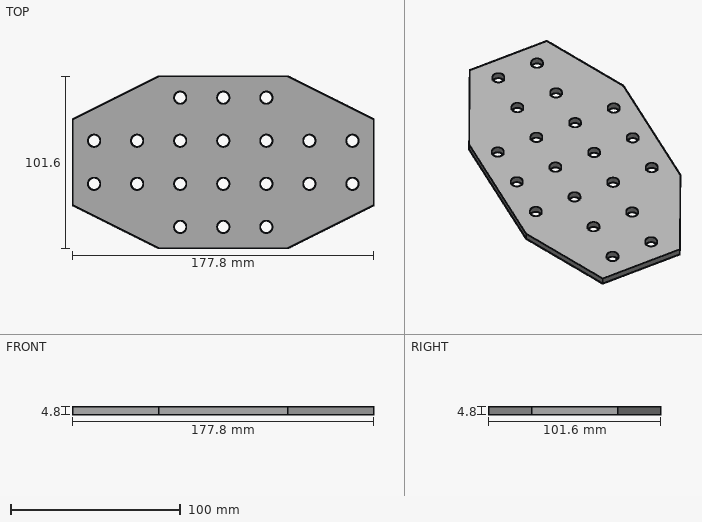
import cadquery as cq

length = 177.8
columns = 7
rows = 4
thickness = 4.8
hole_diameter = 7.1

pitch = length / columns
width = rows * pitch

corner_length = 2 * pitch
corner_width = pitch

holes_per_row = [3, columns, columns, 3]


def octagonal_plate():
    half_length = length / 2
    half_width = width / 2
    end_y = half_width - corner_width
    side_x = half_length - corner_length
    outline = [
        (-half_length, -end_y),
        (-side_x, -half_width),
        (side_x, -half_width),
        (half_length, -end_y),
        (half_length, end_y),
        (side_x, half_width),
        (-side_x, half_width),
        (-half_length, end_y),
    ]
    return cq.Workplane("XY").polyline(outline).close().extrude(thickness)


def hole_centers():
    centers = []
    for row, count in enumerate(holes_per_row):
        y = (row - (rows - 1) / 2) * pitch
        for column in range(count):
            x = (column - (count - 1) / 2) * pitch
            centers.append((x, y))
    return centers


result = (
    octagonal_plate()
    .faces(">Z")
    .workplane(origin=(0, 0, thickness))
    .pushPoints(hole_centers())
    .hole(hole_diameter)
)